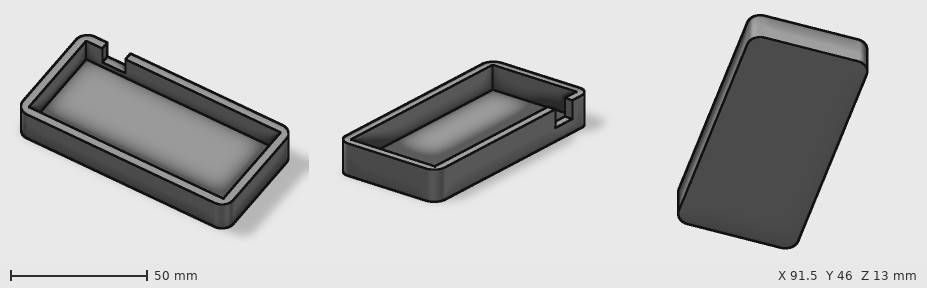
import cadquery as cq

length = 91.5
width = 46.0
height = 13.0
corner_radius = 5.0

wall = 3.5
floor_thickness = 3.0
cavity_length = length - 2 * wall
cavity_width = width - 2 * wall

notch_width = 10.0
notch_offset = 10.5
notch_bottom = 5.5


def make_body():
    """Solid block with rounded vertical corners, standing on Z = 0."""
    block = cq.Workplane("XY").box(length, width, height, centered=(True, True, False))
    return block.edges("|Z").fillet(corner_radius)


def make_cavity():
    """Rectangular pocket volume above the floor."""
    return (
        cq.Workplane("XY")
        .workplane(offset=floor_thickness)
        .rect(cavity_length, cavity_width)
        .extrude(height - floor_thickness)
    )


def make_notch():
    """Block that opens the +Y wall from the notch bottom up to the rim."""
    notch_size = (notch_width, wall, height - notch_bottom)
    notch_corner = (notch_offset - length / 2, width / 2 - wall, notch_bottom)
    return cq.Workplane("XY").box(*notch_size, centered=False).translate(notch_corner)


result = make_body().cut(make_cavity()).cut(make_notch())